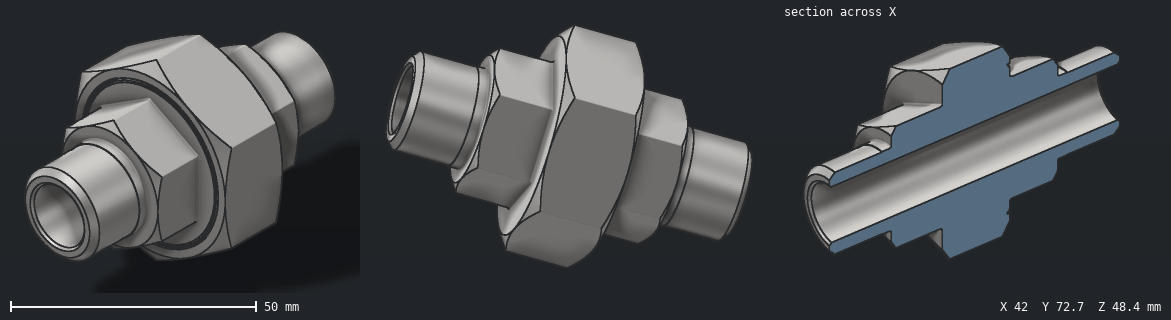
import cadquery as cq
import math

LENGTH = 72.7
BORE_D = 14.0
BORE_CHAMFER = 0.6

NUT_ACROSS_FLATS = 42.0
NUT_FRONT = -8.9
NUT_BACK = 8.1

HEX_ACROSS_FLATS = 27.0
HEX_END = 20.9
HEX_ROOT_FILLET = 0.6

CORNER_FILLET = 0.3
HEX_CHAMFER_ANGLE = 30.0

SPIGOT_D = 20.95
SPIGOT_END_D = 18.0
SPIGOT_CHAMFER_LENGTH = 1.4
COLLAR_D = 21.15
COLLAR_END = 23.2
COLLAR_FILLET = 0.4

MOUTH_D = 38.0
FLANGE_D = 37.4
FLANGE_CHAMFER = 0.3
GROOVE_DEPTH = 0.6
LAND_D = 36.0
LAND_HEIGHT = 0.15


def corner_diameter(across_flats):
    return across_flats / math.cos(math.radians(30))


def disc(diameter, start, end):
    """Cylinder on the Z axis between two heights."""
    return cq.Workplane("XY").workplane(offset=start).circle(diameter / 2).extrude(end - start)


def hex_prism(across_flats, start, end):
    """Hexagonal prism on the Z axis, flats facing +X and -X, with rounded corners."""
    return (
        cq.Workplane("XY")
        .workplane(offset=start)
        .transformed(rotate=(0, 0, 30))
        .polygon(6, corner_diameter(across_flats))
        .extrude(end - start)
        .edges("|Z")
        .fillet(CORNER_FILLET)
    )


def corner_envelope(across_flats, start, end, chamfer_start):
    """Turned blank whose end cones, meeting the end faces at the flats, bevel a hexagon's corners."""
    face_radius = across_flats / 2
    far_radius = across_flats
    drop = (far_radius - face_radius) * math.tan(math.radians(HEX_CHAMFER_ANGLE))
    profile = [(0, start), (0, end), (face_radius, end), (far_radius, end - drop)]
    if chamfer_start:
        profile += [(far_radius, start + drop), (face_radius, start)]
    else:
        profile += [(far_radius, start)]
    return cq.Workplane("XZ").polyline(profile).close().revolve(360, (0, 0), (0, 1))


def along_y(shape, direction):
    """Turn a shape built along +Z so that it points along +Y (1) or -Y (-1)."""
    return shape.rotate((0, 0, 0), (1, 0, 0), -90 * direction)


def spigot():
    """Round end with its collar, filleted onto the end face of the hexagon."""
    tip = LENGTH / 2
    collar_radius = COLLAR_D / 2
    foot_radius = collar_radius + COLLAR_FILLET
    mid_offset = COLLAR_FILLET * (1 - math.sqrt(0.5))
    return (
        cq.Workplane("XZ")
        .moveTo(0, 0)
        .lineTo(foot_radius, 0)
        .lineTo(foot_radius, HEX_END)
        .threePointArc(
            (collar_radius + mid_offset, HEX_END + mid_offset),
            (collar_radius, HEX_END + COLLAR_FILLET),
        )
        .lineTo(collar_radius, COLLAR_END)
        .lineTo(SPIGOT_D / 2, COLLAR_END)
        .lineTo(SPIGOT_D / 2, tip - SPIGOT_CHAMFER_LENGTH)
        .lineTo(SPIGOT_END_D / 2, tip)
        .lineTo(0, tip)
        .close()
        .revolve(360, (0, 0), (0, 1))
    )


def end_piece(root):
    """Hexagon standing on a round land whose face is at height root, carrying a spigot."""
    hexagon = hex_prism(HEX_ACROSS_FLATS, 0, HEX_END).intersect(
        corner_envelope(HEX_ACROSS_FLATS, 0, HEX_END, chamfer_start=False)
    )
    piece = disc(LAND_D, 0, root).union(hexagon)
    reach = corner_diameter(HEX_ACROSS_FLATS) / 2
    margin = HEX_ROOT_FILLET / 2
    root_edges = cq.selectors.BoxSelector(
        (-reach, -reach, root - margin), (reach, reach, root + margin), boundingbox=True
    )
    return piece.edges(root_edges).fillet(HEX_ROOT_FILLET).union(spigot())


def union_nut():
    """Big hexagon with all corners bevelled and a shallow round mouth in its front."""
    front = -NUT_FRONT
    back = -NUT_BACK
    nut = hex_prism(NUT_ACROSS_FLATS, back, front).intersect(
        corner_envelope(NUT_ACROSS_FLATS, back, front, chamfer_start=True)
    )
    return nut.cut(disc(MOUTH_D, front - GROOVE_DEPTH, front))


def front_flange():
    """Chamfered flange just below the nut face, leaving a narrow ring groove around it."""
    flange_top = -NUT_FRONT - LAND_HEIGHT
    return disc(FLANGE_D, 0, flange_top).faces(">Z").chamfer(FLANGE_CHAMFER)


def bore():
    """Through bore with a chamfer at both mouths."""
    tip = LENGTH / 2
    radius = BORE_D / 2
    wide = radius + BORE_CHAMFER
    profile = [
        (0, -tip),
        (wide, -tip),
        (radius, BORE_CHAMFER - tip),
        (radius, tip - BORE_CHAMFER),
        (wide, tip),
        (0, tip),
    ]
    return cq.Workplane("XY").polyline(profile).close().revolve(360, (0, 0), (0, 1))


front_half = end_piece(-NUT_FRONT)
back_half = end_piece(NUT_BACK)
result = (
    along_y(union_nut().union(front_flange()).union(front_half), -1)
    .union(along_y(back_half, 1))
    .cut(bore())
)